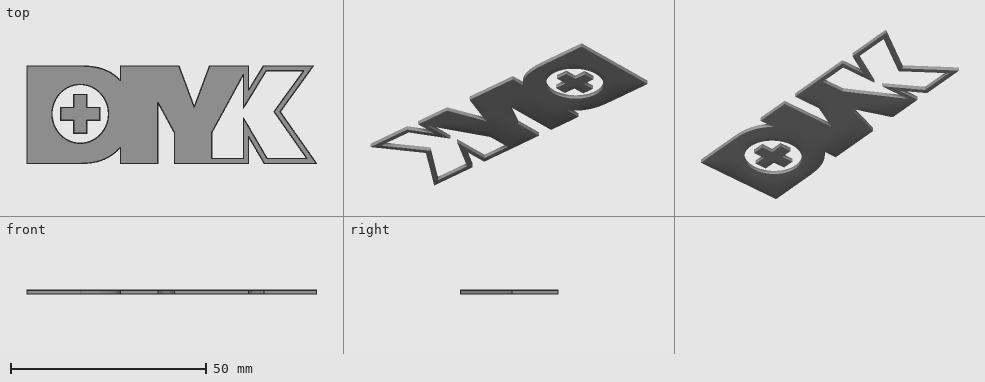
import cadquery as cq

thickness = 1.0
height = 25.0
length = 74.09

bowl_start_x = 13.8
bowl_top_controls = [(18.7, height), (21.8, 23.6)]
bowl_bottom_controls = [(21.4, 1.3), (18.3, 0)]
bowl_end_top_y = 21.2
bowl_end_bottom_y = 4.15
counter_center = (13.63, 12.7)
counter_width = 14.4
counter_height = 15.0

plus_span = 10.0
plus_arm_width = plus_span / 3

bar_left = 23.9
bar_width = 9.6
bar_right = bar_left + bar_width

y_stem_left = 37.7
y_stem_right = y_stem_left + bar_width
y_shoulder = 7.9
y_arm_left = 28.4
y_arm_right = 56.6
y_notch_left = 38.9
y_notch_right = 46.7
y_notch_bottom = (42.8, 14.5)

k_wall = 1.3
k_stem_right = 56.7
k_stem_bottom_left = 45.6
k_stem_top_left = y_notch_right
k_upper_notch = 18.8
k_lower_notch = 6.85
k_upper_arm_left = 60.5
k_upper_arm_right = 73.3
k_waist = (64.8, 13.25)
k_leg_left = 60.7


def plate(points):
    """Extrude a closed straight-sided outline to the plate thickness."""
    return cq.Workplane("XY").polyline(points).close().extrude(thickness)


def make_letter_d():
    """Square left side, with a bowl that curves in to meet the I."""
    return (
        cq.Workplane("XY")
        .lineTo(0, height)
        .lineTo(bowl_start_x, height)
        .bezier([*bowl_top_controls, (bar_left, bowl_end_top_y)], includeCurrent=True)
        .lineTo(bar_left, bowl_end_bottom_y)
        .bezier([*bowl_bottom_controls, (bowl_start_x, 0)], includeCurrent=True)
        .close()
        .extrude(thickness)
    )


def make_counter():
    """Oval opening through the D."""
    return (
        cq.Workplane("XY")
        .center(*counter_center)
        .ellipse(counter_width / 2, counter_height / 2)
        .extrude(thickness)
    )


def make_letter_i():
    return plate([(bar_left, 0), (bar_right, 0), (bar_right, height), (bar_left, height)])


def make_letter_y():
    return plate([
        (y_stem_left, 0),
        (y_stem_right, 0),
        (y_stem_right, y_shoulder),
        (y_arm_right, height),
        (y_notch_right, height),
        y_notch_bottom,
        (y_notch_left, height),
        (y_arm_left, height),
        (y_stem_left, y_shoulder),
    ])


def make_letter_k():
    """K outline hollowed to a frame of even wall width."""
    outline = [
        (k_stem_bottom_left, 0),
        (k_stem_right, 0),
        (k_stem_right, k_lower_notch),
        (k_leg_left, 0),
        (length, 0),
        k_waist,
        (k_upper_arm_right, height),
        (k_upper_arm_left, height),
        (k_stem_right, k_upper_notch),
        (k_stem_right, height),
        (k_stem_top_left, height),
    ]
    inset_outline = cq.Workplane("XY").polyline(outline).close().offset2D(-k_wall, "intersection")
    return plate(outline).cut(inset_outline.extrude(thickness))


def make_nameplate():
    letters = make_letter_d()
    for letter in (make_letter_i(), make_letter_y()):
        letters = letters.union(letter)
    return letters.cut(make_counter()).union(make_letter_k())


def make_plus():
    center = cq.Workplane("XY").center(*counter_center)
    across = center.rect(plus_span, plus_arm_width).extrude(thickness)
    upright = center.rect(plus_arm_width, plus_span).extrude(thickness)
    return across.union(upright)


nameplate = make_nameplate()
plus = make_plus()
result = cq.Compound.makeCompound([nameplate.val(), plus.val()])